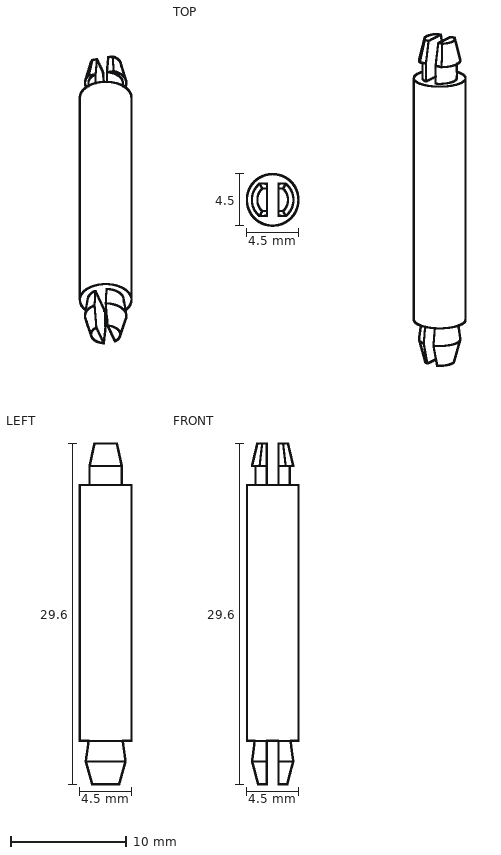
import cadquery as cq

total_length = 29.6
body_diameter = 4.5
slot_width = 1.0

lower_snap_length = 3.8
lower_tip_diameter = 2.55
lower_ridge_diameter = 3.6
lower_root_diameter = 3.15
lower_ridge_height = 2.0

upper_snap_length = 3.6
neck_diameter = 3.0
barb_length = 1.98
barb_base_diameter = 3.6
barb_tip_diameter = 2.65
flats_base_width = 2.8
flats_tip_width = 1.95

body_top = total_length - upper_snap_length
barb_base = total_length - barb_length


def cylinder(diameter, bottom, top):
    return cq.Workplane("XY").workplane(offset=bottom).circle(diameter / 2).extrude(top - bottom)


def frustum(bottom_diameter, top_diameter, bottom, top):
    """Round taper about the Z axis."""
    outline = [
        (0, bottom),
        (bottom_diameter / 2, bottom),
        (top_diameter / 2, top),
        (0, top),
    ]
    return cq.Workplane("XZ").polyline(outline).close().revolve(360, (0, 0), (0, 1))


def split(snap, bottom, top):
    """Divide a snap into two legs with a slot running along Y."""
    height = top - bottom
    slot = cq.Workplane("XY").box(slot_width, body_diameter, height, centered=(True, True, False))
    return snap.cut(slot.translate((0, 0, bottom)))


def make_lower_snap():
    tip = frustum(lower_tip_diameter, lower_ridge_diameter, 0, lower_ridge_height)
    root = frustum(lower_ridge_diameter, lower_root_diameter, lower_ridge_height, lower_snap_length)
    return split(tip.union(root), 0, lower_snap_length)


def make_upper_snap():
    neck = cylinder(neck_diameter, body_top, barb_base)
    cone = frustum(barb_base_diameter, barb_tip_diameter, barb_base, total_length)
    flats_outline = [
        (-flats_base_width / 2, barb_base),
        (flats_base_width / 2, barb_base),
        (flats_tip_width / 2, total_length),
        (-flats_tip_width / 2, total_length),
    ]
    wedge = cq.Workplane("YZ").polyline(flats_outline).close().extrude(barb_base_diameter, both=True)
    barb = cone.intersect(wedge)
    return split(neck.union(barb), body_top, total_length)


body = cylinder(body_diameter, lower_snap_length, body_top)
result = body.union(make_lower_snap()).union(make_upper_snap())

result = result.translate((0, 0, -total_length / 2))